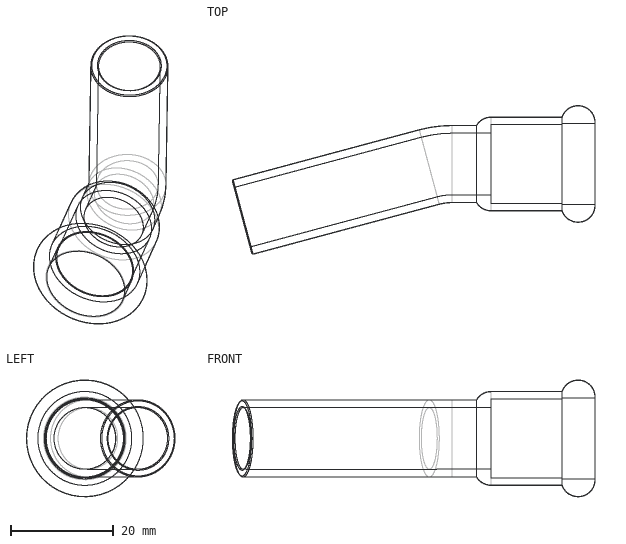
import cadquery as cq
import math


overall_length = 70.5
bead_diameter = 22.7
bead_round = 3.3
sleeve_diameter = 18.3
shoulder_round = 3.3
neck_length = 4.7
fitting_length = 27.8
tube_diameter = 15.0
tube_bore = 12.0
socket_bore = 15.3
mouth_bore = 15.7
bend_angle = 15.0
bend_radius = 17.2
end_chamfer = 0.2

tube_radius = tube_diameter / 2
sleeve_radius = sleeve_diameter / 2
bend_sin = math.sin(math.radians(bend_angle))
bend_cos = math.cos(math.radians(bend_angle))

end_face_radius = tube_radius - end_chamfer
spigot_reach = overall_length - fitting_length - (bend_radius + end_face_radius) * bend_sin
spigot_length = spigot_reach / bend_cos

shoulder_centre = sleeve_radius - shoulder_round
shoulder_length = math.sqrt(shoulder_round**2 - (tube_radius - shoulder_centre) ** 2)
sleeve_start = neck_length + shoulder_length

bead_x = fitting_length - bead_round
bead_centre = bead_diameter / 2 - bead_round
bead_start = bead_x - math.sqrt(bead_round**2 - (sleeve_radius - bead_centre) ** 2)


def bent_run(diameter):
    """Round bar that follows the bend and then the straight spigot."""
    bend = (
        cq.Workplane("YZ")
        .circle(diameter / 2)
        .revolve(bend_angle, (-bend_radius, 0), (-bend_radius, 1))
    )
    bend_end = cq.Vector(-bend_radius * bend_sin, -bend_radius * (1 - bend_cos), 0)
    direction = cq.Vector(-bend_cos, -bend_sin, 0)
    spigot = cq.Solid.makeCylinder(diameter / 2, spigot_length, bend_end, direction)
    return bend.union(cq.Workplane(spigot))


def bore(diameter, start, end):
    """Round cutter along the fitting axis."""
    return cq.Workplane("YZ", origin=(start, 0, 0)).circle(diameter / 2).extrude(end - start)


def fitting_outside():
    """Neck, rounded shoulder, sleeve and bead turned about the X axis."""
    shoulder_start_angle = math.asin((tube_radius - shoulder_centre) / shoulder_round)
    shoulder_angle = (shoulder_start_angle + math.pi / 2) / 2
    shoulder_middle = (
        sleeve_start - shoulder_round * math.cos(shoulder_angle),
        shoulder_centre + shoulder_round * math.sin(shoulder_angle),
    )
    bead_top = (bead_x, bead_diameter / 2)
    return (
        cq.Workplane("XY")
        .lineTo(0, tube_radius)
        .lineTo(neck_length, tube_radius)
        .threePointArc(shoulder_middle, (sleeve_start, sleeve_radius))
        .lineTo(bead_start, sleeve_radius)
        .threePointArc(bead_top, (fitting_length, bead_centre))
        .lineTo(fitting_length, 0)
        .close()
        .revolve(360, (0, 0), (1, 0))
    )


body = fitting_outside().union(bent_run(tube_diameter))

body = body.cut(bent_run(tube_bore))
body = body.cut(bore(tube_bore, 0, sleeve_start))
body = body.cut(bore(socket_bore, sleeve_start, bead_start))
body = body.cut(bore(mouth_bore, bead_start, fitting_length))

spigot_end = cq.selectors.DirectionMinMaxSelector(cq.Vector(bend_cos, bend_sin, 0), False)
result = body.faces(spigot_end).edges().chamfer(end_chamfer)